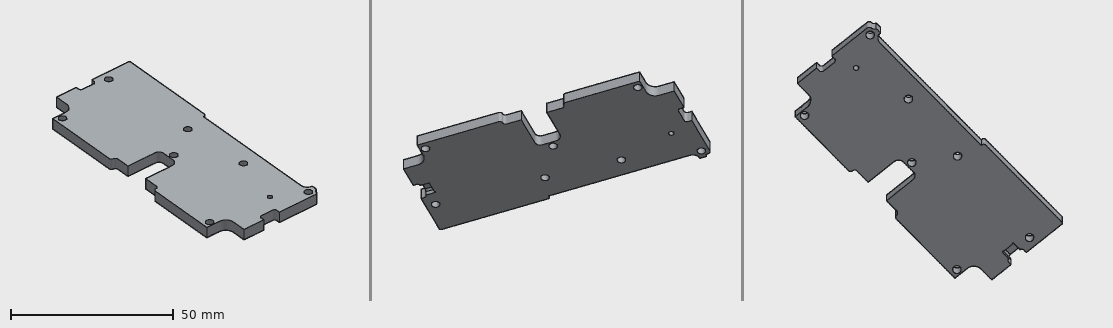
import cadquery as cq

length = 90.2
width = 38.8
thickness = 4.0

left_cutout_x = 7.9
right_cutout_x = 82.05
cutout_y = 8.1
cutout_radius = 3.1

notch_bottom = 16.05
notch_top = 22.3
left_notch_depth = 2.0
right_notch_depth = 2.2
notch_radius = 0.9

slot_left = 41.8
slot_right = 50.3
slot_top = 14.6
slot_left_radius = 1.8
slot_right_radius = 2.2
step_height = 1.9
step_radius = step_height / 2
left_step_start = 35.1
right_step_end = 57.35

left_top = 37.4
left_corner_radius = 0.5
right_top = 36.3
ledge_x = 36.7
ledge_radius = 0.7
tab_left = 86.1
tab_inner_radius = width - right_top
tab_corner_radius = 1.0
tab_shoulder_y = width - tab_corner_radius

hole_diameter = 2.6
hole_centres = [
    (3.2, 26.4),
    (38.8, 28.4),
    (63.5, 30.1),
    (87.7, 35.9),
    (46.4, 16.4),
    (9.7, 2.4),
    (80.4, 2.4),
]
pin_hole_diameter = 1.6
pin_hole_centre = (82.1, 25.2)

recess_bottom = 16.9
recess_top = 21.5
recess_height = 2.1
recess_end_x = 5.0
recess_bevel = 0.6
recess_bulge_start = 20.65
recess_bulge_end_x = 5.2
recess_bulge_radius = 1.35


def plate():
    """Outline drawn counter-clockwise from the lower left corner, then extruded."""
    left_notch_x = left_notch_depth
    right_notch_x = length - right_notch_depth
    outline = (
        cq.Workplane("XY")
        .moveTo(left_cutout_x, 0)
        .lineTo(left_step_start, 0)
        .radiusArc((left_step_start + step_radius, step_radius), -step_radius)
        .radiusArc((left_step_start + 2 * step_radius, step_height), step_radius)
        .lineTo(slot_left, step_height)
        .lineTo(slot_left, slot_top - slot_left_radius)
        .radiusArc((slot_left + slot_left_radius, slot_top), slot_left_radius)
        .lineTo(slot_right - slot_right_radius, slot_top)
        .radiusArc((slot_right, slot_top - slot_right_radius), slot_right_radius)
        .lineTo(slot_right, step_height)
        .lineTo(right_step_end - 2 * step_radius, step_height)
        .radiusArc((right_step_end - step_radius, step_radius), step_radius)
        .radiusArc((right_step_end, 0), -step_radius)
        .lineTo(right_cutout_x, 0)
        .lineTo(right_cutout_x, cutout_y - cutout_radius)
        .radiusArc((right_cutout_x + cutout_radius, cutout_y), cutout_radius)
        .lineTo(length, cutout_y)
        .lineTo(length, notch_bottom)
        .lineTo(right_notch_x + notch_radius, notch_bottom)
        .radiusArc((right_notch_x, notch_bottom + notch_radius), notch_radius)
        .lineTo(right_notch_x, notch_top - notch_radius)
        .radiusArc((right_notch_x + notch_radius, notch_top), notch_radius)
        .lineTo(length, notch_top)
        .lineTo(length, tab_shoulder_y - tab_corner_radius)
        .radiusArc((length - tab_corner_radius, tab_shoulder_y), -tab_corner_radius)
        .radiusArc((length - 2 * tab_corner_radius, width), tab_corner_radius)
        .lineTo(tab_left, width)
        .radiusArc((tab_left - tab_inner_radius, right_top), tab_inner_radius)
        .lineTo(ledge_x, right_top)
        .lineTo(ledge_x, left_top - ledge_radius)
        .radiusArc((ledge_x - ledge_radius, left_top), -ledge_radius)
        .lineTo(left_corner_radius, left_top)
        .radiusArc((0, left_top - left_corner_radius), -left_corner_radius)
        .lineTo(0, notch_top)
        .lineTo(left_notch_x - notch_radius, notch_top)
        .radiusArc((left_notch_x, notch_top - notch_radius), notch_radius)
        .lineTo(left_notch_x, notch_bottom + notch_radius)
        .radiusArc((left_notch_x - notch_radius, notch_bottom), notch_radius)
        .lineTo(0, notch_bottom)
        .lineTo(0, cutout_y)
        .lineTo(left_cutout_x - cutout_radius, cutout_y)
        .radiusArc((left_cutout_x, cutout_y - cutout_radius), cutout_radius)
        .close()
    )
    return outline.extrude(thickness)


def through_holes():
    """Cutters for the round holes."""
    holes = cq.Workplane("XY").pushPoints(hole_centres).circle(hole_diameter / 2).extrude(thickness)
    pin_hole = cq.Workplane("XY").center(*pin_hole_centre).circle(pin_hole_diameter / 2).extrude(thickness)
    return holes.union(pin_hole)


def notch_recess():
    """Cutter from the underside, with a bevelled roof and a rounded corner on its end wall."""
    return (
        cq.Workplane("XY")
        .moveTo(left_notch_depth, recess_bottom)
        .lineTo(recess_end_x, recess_bottom)
        .lineTo(recess_end_x, recess_bulge_start)
        .radiusArc((recess_bulge_end_x, recess_top), recess_bulge_radius)
        .lineTo(left_notch_depth, recess_top)
        .close()
        .extrude(recess_height)
        .faces("<Y or >Y")
        .edges(">Z")
        .chamfer(recess_bevel)
    )


result = plate().cut(through_holes()).cut(notch_recess())